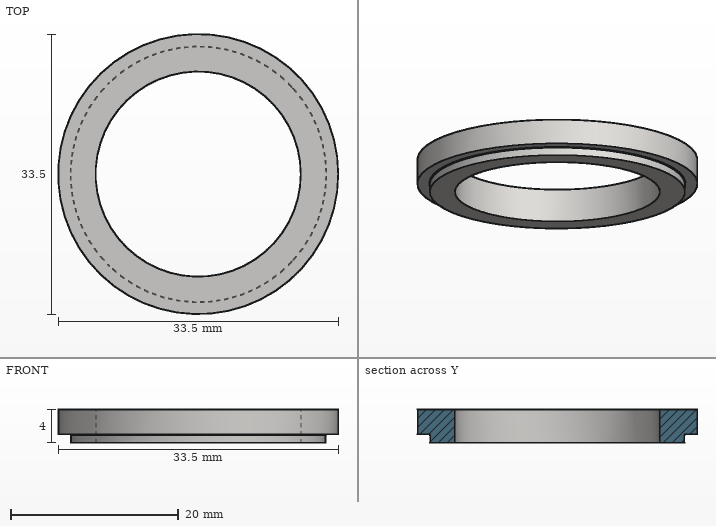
import cadquery as cq

flange_diameter = 33.5
lip_diameter = 30.5
bore_diameter = 24.5
total_height = 4.0
lip_height = 1.0
root_chamfer = 0.087

flange_radius = flange_diameter / 2
lip_radius = lip_diameter / 2
bore_radius = bore_diameter / 2

result = (
    cq.Workplane("XZ")
    .moveTo(bore_radius, 0)
    .lineTo(lip_radius, 0)
    .lineTo(lip_radius, lip_height - root_chamfer)
    .lineTo(lip_radius + root_chamfer, lip_height)
    .lineTo(flange_radius, lip_height)
    .lineTo(flange_radius, total_height)
    .lineTo(bore_radius, total_height)
    .close()
    .revolve(360, (0, 0, 0), (0, 1, 0))
)